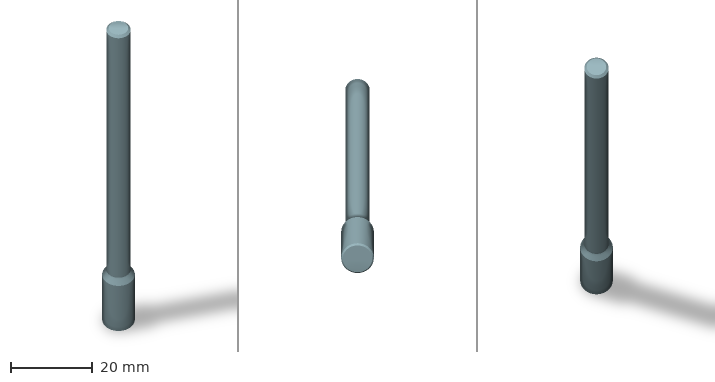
import cadquery as cq

total_length = 101.0
shaft_diameter = 6.0
shaft_chamfer = 0.6
head_diameter = 8.0
head_length = 17.8
shoulder_height = 1.8
base_chamfer = 0.4

shaft_radius = shaft_diameter / 2
head_radius = head_diameter / 2


def make_head():
    """Cylindrical head with a conical shoulder and a chamfered base."""
    shoulder_start = head_length - shoulder_height
    return (
        cq.Workplane("XZ")
        .moveTo(0, 0)
        .lineTo(head_radius - base_chamfer, 0)
        .lineTo(head_radius, base_chamfer)
        .lineTo(head_radius, shoulder_start)
        .lineTo(shaft_radius, head_length)
        .lineTo(0, head_length)
        .close()
        .revolve(360, (0, 0), (0, 1))
    )


def make_shaft():
    """Round shaft standing on the head, chamfered at its free end."""
    return (
        cq.Workplane("XY")
        .workplane(offset=head_length)
        .circle(shaft_radius)
        .extrude(total_length - head_length)
        .faces(">Z")
        .chamfer(shaft_chamfer)
    )


head = make_head()
shaft = make_shaft()

result = cq.Compound.makeCompound([head.val(), shaft.val()])